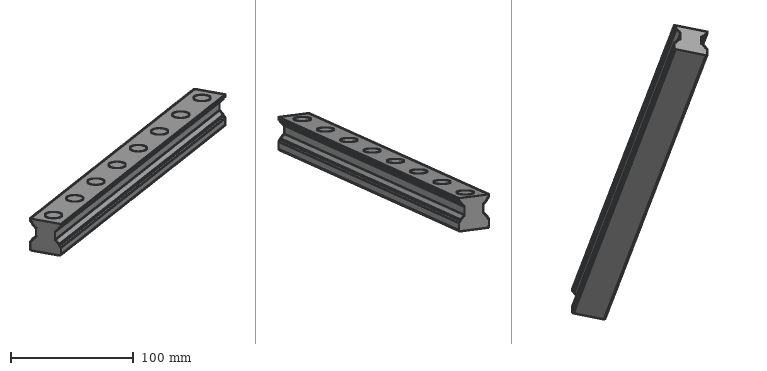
import cadquery as cq

rail_width = 28.0
rail_height = 28.0
rail_length = 310.0
half_width = rail_width / 2

groove_mid_height = 16.8
mouth_corner = (half_width, 9.5)
step_corner = (12.4, 7.9)
track_outer_corner = (12.2, 7.0)
track_inner_corner = (8.7, 3.5)

bottom_chamfer = 1.2

hole_diameter = 14.0
hole_pitch = 40.0
hole_count = 8
recess_depth = 0.1


def rail_body():
    """Constant cross-section of the rail, extruded along Y."""
    groove_half = [mouth_corner, step_corner, track_outer_corner, track_inner_corner]
    upper_groove = [(x, groove_mid_height + z) for x, z in groove_half]
    lower_groove = [(x, groove_mid_height - z) for x, z in reversed(groove_half)]
    right_side = [(half_width, rail_height)] + upper_groove + lower_groove + [
        (half_width, bottom_chamfer),
        (half_width - bottom_chamfer, 0),
    ]
    left_side = [(-x, z) for x, z in reversed(right_side)]
    profile = cq.Workplane("XZ").polyline(right_side + left_side).close()
    return profile.extrude(rail_length / 2, both=True)


def hole_recesses():
    """Row of shallow round recesses, centred along the top face."""
    top = cq.Workplane("XY").workplane(offset=rail_height - recess_depth)
    return top.rarray(1, hole_pitch, 1, hole_count).circle(hole_diameter / 2).extrude(recess_depth)


result = rail_body().cut(hole_recesses())